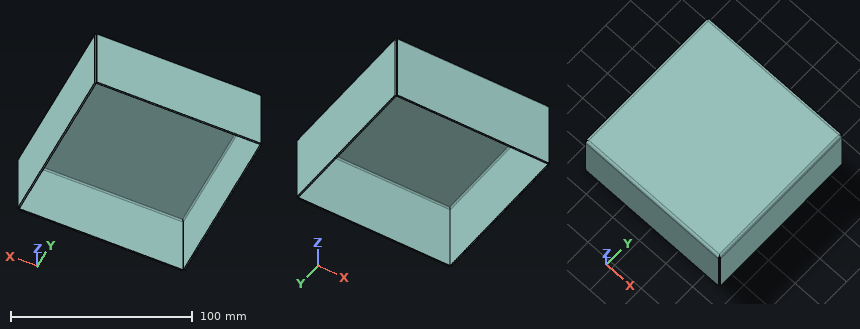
import cadquery as cq

length = 102.0
width = 100.0
height = 44.0
sheet = 0.9
bend_radius = 1.8
corner_gap = 0.1
corner_notch = sheet + corner_gap / 2


def rounded_block(size_x, size_y, size_z, top_radius):
    """Block standing on Z = 0 with its four top edges rounded."""
    block = cq.Workplane("XY").box(size_x, size_y, size_z, centered=(True, True, False))
    return block.faces(">Z").edges().fillet(top_radius)


def corner_reliefs():
    """Square columns that separate the walls along the four vertical corners."""
    return (
        cq.Workplane("XY")
        .rect(length, width, forConstruction=True)
        .vertices()
        .rect(2 * corner_notch, 2 * corner_notch)
        .extrude(height)
    )


def make_cover():
    """Top panel with four bent-down walls of constant thickness."""
    outside = rounded_block(length, width, height, bend_radius)
    inside = rounded_block(
        length - 2 * sheet, width - 2 * sheet, height - sheet, bend_radius - sheet
    )
    return outside.cut(inside).cut(corner_reliefs())


cover = make_cover()

result = cq.Compound.makeCompound([cover.val()])